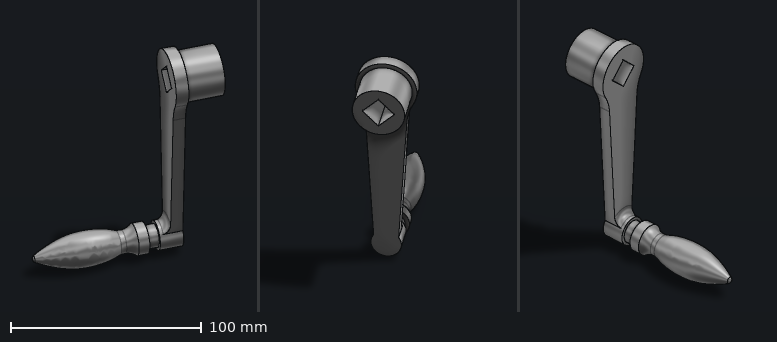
import cadquery as cq
import math

HEAD_RADIUS = 16.5
ARM_THICKNESS = 7.0
ARM_HALF_WIDTH_AT_HUB = 12.3
ARM_HALF_WIDTH_AT_HANDLE = 6.5
ARM_BLEND_RADIUS = 25.0
CRANK_LENGTH = 100.0

HUB_RADIUS = 14.0
HUB_LENGTH = 21.0
SQUARE_SIDE = 12.1

BOSS_RADIUS = 8.2
BOSS_LENGTH = 13.0
BOSS_FILLET = 4.0

NECK_RADIUS = 6.5
NECK_LENGTH = 6.0
COLLAR_RADIUS = 8.9
COLLAR_LENGTH = 6.0
THROAT_LENGTH = 6.1
GRIP_BLEND_LENGTH = 2.9
GRIP_START_RADIUS = 6.7
GRIP_LENGTH = 46.3
GRIP_RADII = [9.0, 9.9, 9.7, 8.2, 5.6]
TIP_RADIUS = 1.9
TIP_LENGTH = 0.9


def arm_outline():
    """Round head flowing into a tapered arm that ends on the handle axis."""
    taper = math.atan2(ARM_HALF_WIDTH_AT_HUB - ARM_HALF_WIDTH_AT_HANDLE, CRANK_LENGTH)
    side_distance = ARM_HALF_WIDTH_AT_HUB * math.cos(taper) + ARM_BLEND_RADIUS
    center_distance = HEAD_RADIUS + ARM_BLEND_RADIUS
    center_angle = -taper - math.acos(side_distance / center_distance)
    center_x = center_distance * math.cos(center_angle)
    center_z = center_distance * math.sin(center_angle)

    def on_head(angle):
        return HEAD_RADIUS * math.cos(angle), HEAD_RADIUS * math.sin(angle)

    def on_blend(angle):
        return (
            center_x + ARM_BLEND_RADIUS * math.cos(angle),
            center_z + ARM_BLEND_RADIUS * math.sin(angle),
        )

    def mirrored(point):
        return -point[0], point[1]

    head_end = on_head(center_angle)
    head_blend_angle = center_angle + math.pi
    side_blend_angle = math.pi - taper
    blend_middle = on_blend((head_blend_angle + side_blend_angle) / 2)
    blend_end = on_blend(side_blend_angle)
    return (
        cq.Workplane("XZ")
        .moveTo(*head_end)
        .threePointArc((0, HEAD_RADIUS), mirrored(head_end))
        .threePointArc(mirrored(blend_middle), mirrored(blend_end))
        .lineTo(-ARM_HALF_WIDTH_AT_HANDLE, -CRANK_LENGTH)
        .lineTo(ARM_HALF_WIDTH_AT_HANDLE, -CRANK_LENGTH)
        .lineTo(*blend_end)
        .threePointArc(blend_middle, head_end)
        .close()
    )


def revolve_on_handle_axis(profile):
    """Turn a (radius, Y) profile about the handle axis."""
    return profile.revolve(360, (0, 0), (0, 1)).translate((0, 0, -CRANK_LENGTH))


def make_arm():
    return arm_outline().extrude(-ARM_THICKNESS)


def make_hub():
    return cq.Workplane("XZ").workplane(offset=-ARM_THICKNESS).circle(HUB_RADIUS).extrude(-HUB_LENGTH)


def make_drive_hole():
    depth = ARM_THICKNESS + HUB_LENGTH
    return (
        cq.Workplane("XZ")
        .transformed(rotate=(0, 0, 45))
        .rect(SQUARE_SIDE, SQUARE_SIDE)
        .extrude(-depth)
    )


def make_boss_fillet():
    """Flare from the arm face to the boss, trimmed to the width of the arm."""
    arc_offset = BOSS_FILLET * (1 - math.sqrt(0.5))
    flare = revolve_on_handle_axis(
        cq.Workplane("XY")
        .lineTo(BOSS_RADIUS + BOSS_FILLET, 0)
        .threePointArc((BOSS_RADIUS + arc_offset, -arc_offset), (BOSS_RADIUS, -BOSS_FILLET))
        .lineTo(0, -BOSS_FILLET)
        .close()
    )
    return flare.intersect(arm_outline().extrude(BOSS_FILLET))


def make_handle():
    """Boss, neck, collar and rounded grip turned as one profile."""
    boss_end = ARM_THICKNESS - BOSS_LENGTH
    neck_end = boss_end - NECK_LENGTH
    collar_end = neck_end - COLLAR_LENGTH
    throat_end = collar_end - THROAT_LENGTH
    grip_start = throat_end - GRIP_BLEND_LENGTH
    grip_end = grip_start - GRIP_LENGTH

    spacing = GRIP_LENGTH / (len(GRIP_RADII) + 1)
    grip_points = [(radius, grip_start - i * spacing) for i, radius in enumerate(GRIP_RADII, 1)]
    grip_points.append((TIP_RADIUS, grip_end))

    dome_radius = (TIP_RADIUS**2 + TIP_LENGTH**2) / (2 * TIP_LENGTH)
    dome_center = grip_end - TIP_LENGTH + dome_radius
    half_dome_angle = math.asin(TIP_RADIUS / dome_radius) / 2
    dome_middle = (
        dome_radius * math.sin(half_dome_angle),
        dome_center - dome_radius * math.cos(half_dome_angle),
    )

    return revolve_on_handle_axis(
        cq.Workplane("XY")
        .moveTo(0, ARM_THICKNESS)
        .lineTo(BOSS_RADIUS, ARM_THICKNESS)
        .lineTo(BOSS_RADIUS, boss_end)
        .lineTo(NECK_RADIUS, boss_end)
        .lineTo(NECK_RADIUS, neck_end)
        .lineTo(COLLAR_RADIUS, neck_end)
        .lineTo(COLLAR_RADIUS, collar_end)
        .threePointArc(throat_middle(collar_end), (NECK_RADIUS, throat_end))
        .tangentArcPoint((GRIP_START_RADIUS, grip_start), relative=False)
        .spline(grip_points, includeCurrent=True)
        .threePointArc(dome_middle, (0, grip_end - TIP_LENGTH))
        .close()
    )


def throat_middle(collar_end):
    """Midpoint of the hollow arc between the collar and the throat."""
    drop = COLLAR_RADIUS - NECK_RADIUS
    arc_radius = (THROAT_LENGTH**2 + drop**2) / (2 * drop)
    half_angle = math.asin(THROAT_LENGTH / arc_radius) / 2
    return (
        NECK_RADIUS + arc_radius * (1 - math.cos(half_angle)),
        collar_end - THROAT_LENGTH + arc_radius * math.sin(half_angle),
    )


result = (
    make_arm()
    .union(make_hub())
    .union(make_handle())
    .union(make_boss_fillet())
    .cut(make_drive_hole())
)